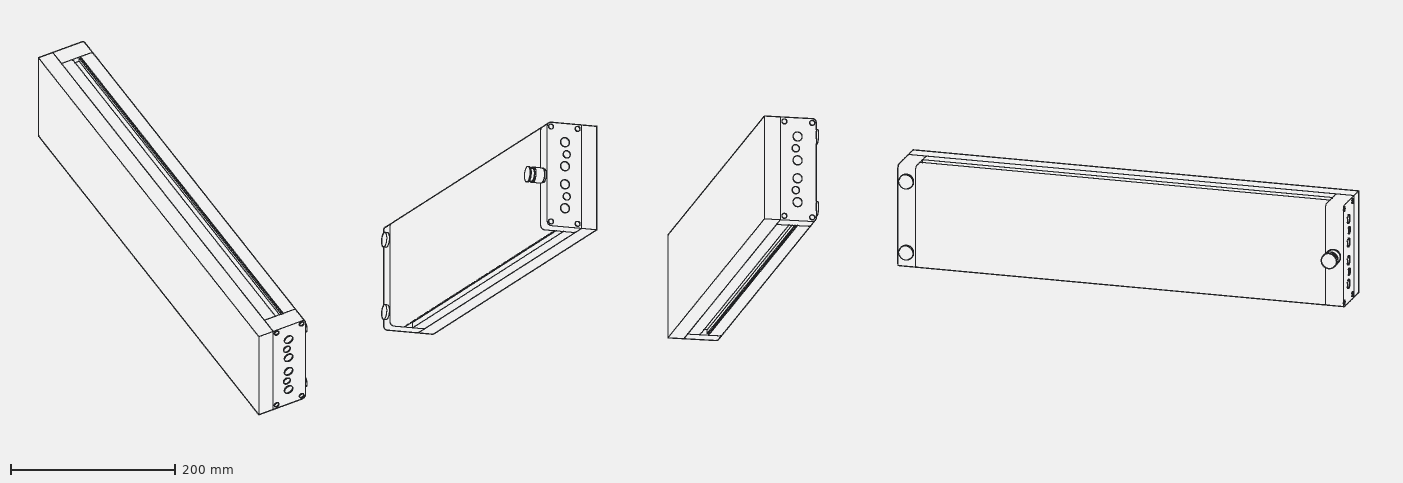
import cadquery as cq

LENGTH = 568.0
HEIGHT = 130.0
PANEL_DEPTH = 20.0
HOUSING_REAR = 65.0
REAR_EDGE_RADIUS = 5.0
CAP_LENGTH = 23.0

SLOT_FRONT = 35.0
SLOT_REAR = 44.5
SLOT_DEPTH = 7.0
STEP_REAR = 46.0
STEP_DEPTH = 2.0

RECESS_DEPTH = 1.0
SCREW_DIAMETER = 6.0
SCREW_Y = (25.0, 59.5)
SCREW_Z = 59.5
LARGE_RECESS_DIAMETER = 11.5
LARGE_RECESS_Y = 41.5
LARGE_RECESS_Z = (11.5, 41.5)
SMALL_RECESS_DIAMETER = 9.0
SMALL_RECESS_Y = 39.0
SMALL_RECESS_Z = sum(LARGE_RECESS_Z) / 2

PLUG_DIAMETER = 18.0
PLUG_REAR = 68.0
PLUG_Z = 45.5

CONNECTOR_X = -272.0
CONNECTOR_REAR = 86.5
CONNECTOR_RADIUS = 9.5
COLLAR_OVERHANG = 0.3
CONNECTOR_BODY_RADIUS = CONNECTOR_RADIUS - COLLAR_OVERHANG
CONNECTOR_NECK_RADIUS = 8.0
CONNECTOR_FOOT_RADIUS = 8.5
FLANGE_THICKNESS = 1.5
NECK_LENGTH = 4.5
COLLAR_THICKNESS = 1.5
FOOT_HEIGHT = 2.0

CAP_CENTRE_X = (LENGTH - CAP_LENGTH) / 2
CAP_OUTER_X = LENGTH / 2


def box_between(x_range, y_range, z_range):
    """Box filling the given coordinate ranges."""
    corner = (x_range[0], y_range[0], z_range[0])
    sizes = [high - low for low, high in (x_range, y_range, z_range)]
    return cq.Workplane("XY").box(*sizes, centered=False).translate(corner)


def housing_section(centre_x, length):
    """Length of the housing behind the panel, with rounded long rear edges."""
    x_range = (centre_x - length / 2, centre_x + length / 2)
    block = box_between(x_range, (PANEL_DEPTH, HOUSING_REAR), (-HEIGHT / 2, HEIGHT / 2))
    return block.faces(">Y").edges("|X").fillet(REAR_EDGE_RADIUS)


def make_panel():
    """Flat front panel covering the full length and height."""
    return box_between(
        (-LENGTH / 2, LENGTH / 2), (0, PANEL_DEPTH), (-HEIGHT / 2, HEIGHT / 2)
    )


def make_profile():
    """Long housing profile between the caps, with a stepped slot above and below."""
    profile_length = LENGTH - 2 * CAP_LENGTH
    x_range = (-profile_length / 2, profile_length / 2)
    top = HEIGHT / 2
    slot = box_between(x_range, (SLOT_FRONT, SLOT_REAR), (top - SLOT_DEPTH, top))
    step = box_between(x_range, (SLOT_REAR, STEP_REAR), (top - STEP_DEPTH, top))
    stepped_slot = slot.union(step)
    return housing_section(0, profile_length).cut(stepped_slot).cut(stepped_slot.mirror("XY"))


def cap_recesses():
    """Shallow round recesses in an end face at the +X end."""
    groups = [
        (SCREW_DIAMETER, SCREW_Y, (SCREW_Z,)),
        (LARGE_RECESS_DIAMETER, (LARGE_RECESS_Y,), LARGE_RECESS_Z),
        (SMALL_RECESS_DIAMETER, (SMALL_RECESS_Y,), (SMALL_RECESS_Z,)),
    ]
    plane = cq.Workplane("YZ", origin=(CAP_OUTER_X - RECESS_DEPTH, 0, 0))
    recesses = cq.Workplane("YZ")
    for diameter, y_places, heights in groups:
        centres = [(y, side * z) for y in y_places for z in heights for side in (-1, 1)]
        recesses = recesses.add(plane.pushPoints(centres).circle(diameter / 2).extrude(RECESS_DEPTH))
    return recesses.combine()


def make_cap(side):
    """End cap at the -X (side = -1) or +X (side = 1) end, without rear fittings."""
    recesses = cap_recesses()
    if side < 0:
        recesses = recesses.mirror("YZ")
    return housing_section(side * CAP_CENTRE_X, CAP_LENGTH).cut(recesses)


def connector():
    """Turned cable connector with foot, body, collar, neck and end flange."""
    foot_top = HOUSING_REAR + FOOT_HEIGHT
    flange_start = CONNECTOR_REAR - FLANGE_THICKNESS
    collar_end = flange_start - NECK_LENGTH
    collar_start = collar_end - COLLAR_THICKNESS
    half_section = (
        cq.Workplane("XY")
        .moveTo(0, HOUSING_REAR)
        .lineTo(CONNECTOR_FOOT_RADIUS, HOUSING_REAR)
        .lineTo(CONNECTOR_FOOT_RADIUS, foot_top)
        .lineTo(CONNECTOR_BODY_RADIUS, foot_top)
        .lineTo(CONNECTOR_BODY_RADIUS, collar_start)
        .lineTo(CONNECTOR_RADIUS, collar_start)
        .lineTo(CONNECTOR_RADIUS, collar_end)
        .lineTo(CONNECTOR_NECK_RADIUS, collar_end)
        .lineTo(CONNECTOR_NECK_RADIUS, flange_start)
        .lineTo(CONNECTOR_RADIUS, flange_start)
        .lineTo(CONNECTOR_RADIUS, CONNECTOR_REAR)
        .lineTo(0, CONNECTOR_REAR)
        .close()
    )
    return half_section.revolve(360, (0, 0), (0, 1)).translate((CONNECTOR_X, 0, 0))


def blanking_plugs():
    """Two low round plugs on the rear of the +X cap."""
    rear_plane = cq.Workplane("XZ", origin=(CAP_CENTRE_X, PLUG_REAR, 0))
    centres = [(0, -PLUG_Z), (0, PLUG_Z)]
    return rear_plane.pushPoints(centres).circle(PLUG_DIAMETER / 2).extrude(PLUG_REAR - HOUSING_REAR)


panel = make_panel()
profile = make_profile()
connector_cap = make_cap(-1).union(connector())
plug_cap = make_cap(1).union(blanking_plugs())

result = cq.Compound.makeCompound(
    [panel.val(), profile.val(), connector_cap.val(), plug_cap.val()]
)